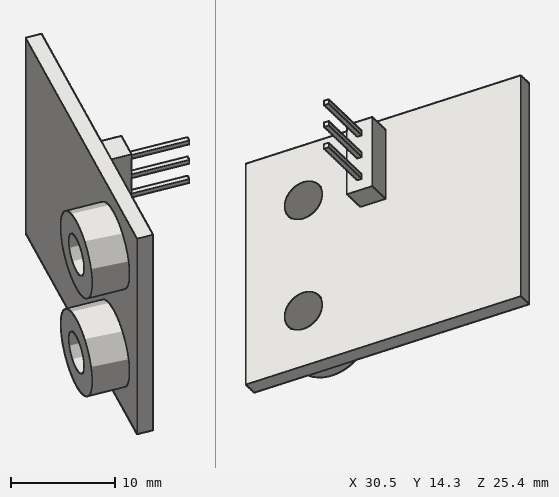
import cadquery as cq

board_width = 30.48
board_height = 25.4
board_thickness = 1.65

boss_diameter = 8.65
bore_diameter = 4.18
boss_length = 3.8
boss_x = 24.08
boss_heights = [board_height / 4, board_height * 3 / 4]

header_width = 2.8
header_depth = 2.55
header_height = 7.95
header_x = 16.37
header_z = 20.15
pin_count = 3
pin_pitch = 2.5
pin_size = 0.52
pin_length = 6.35


def block_behind(x, z, width, height, depth):
    """Block centred at (x, z), extending from the board's mid-plane to Y = depth."""
    start = -board_thickness / 2
    return (
        cq.Workplane("XY")
        .box(width, depth - start, height, centered=(True, False, True))
        .translate((x, start, z))
    )


def cylinder_through(z, diameter, front_y):
    """Cylinder on a boss axis, from the board's back face forward to front_y."""
    return cq.Workplane("XZ", origin=(boss_x, 0, z)).circle(diameter / 2).extrude(-front_y)


def make_header():
    """Header housing with a vertical row of square pins."""
    header = block_behind(header_x, header_z, header_width, header_height, header_depth)
    for index in range(pin_count):
        pin_z = header_z + (index - (pin_count - 1) / 2) * pin_pitch
        pin = block_behind(header_x, pin_z, pin_size, pin_size, header_depth + pin_length)
        header = header.union(pin)
    return header


board = cq.Workplane("XY").box(board_width, board_thickness, board_height, centered=False)
result = board.translate((0, -board_thickness, 0)).union(make_header())

boss_front_y = -(board_thickness + boss_length)
for boss_z in boss_heights:
    result = result.union(cylinder_through(boss_z, boss_diameter, boss_front_y))
    result = result.cut(cylinder_through(boss_z, bore_diameter, boss_front_y))